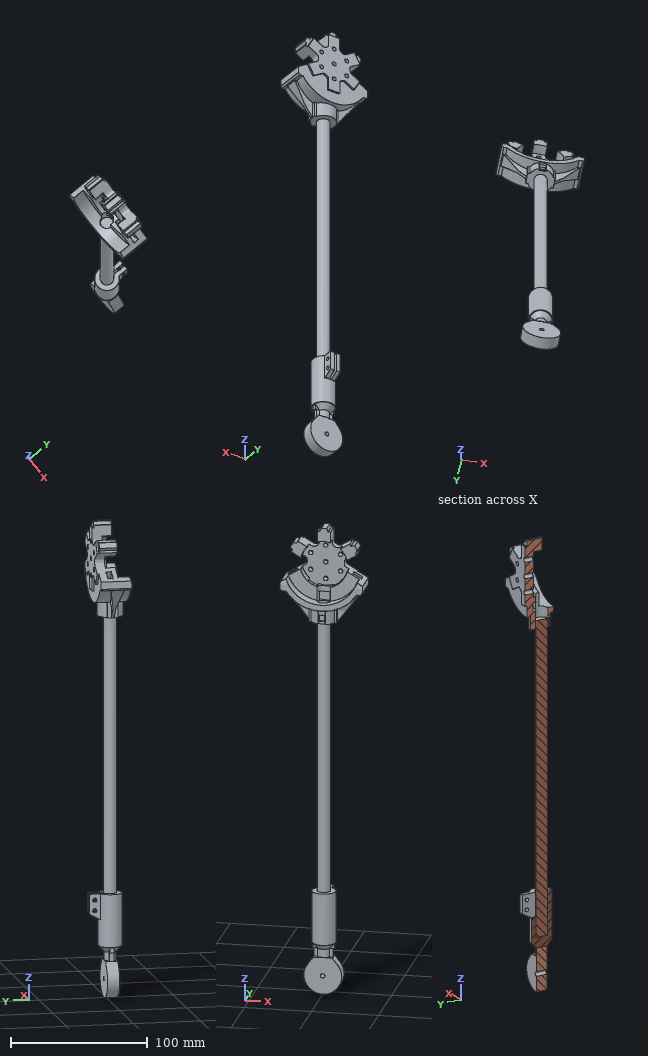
import cadquery as cq
import math

OVERALL_HEIGHT = 356.0
OVERALL_WIDTH = 61.5

ROD_R = 5.0
ROD_BOTTOM_Z = 42.7
ROD_TOP_Z = 292.0

ARM_COUNT = 6
ARM_STEP = 360.0 / ARM_COUNT
ARM_ANGLES = [ARM_STEP * (i + 0.5) for i in range(ARM_COUNT)]
HUB_Z = 328.3
HUB_FRONT_Y = 6.8
HUB_BACK_Y = 14.2
HUB_WAIST_R = 14.0
HUB_DISC_R = 17.8
ARM_HALF_WIDTH = 5.0
ARM_REACH = 23.5
ARM_ROOT_FILLET = 3.0
HUB_HOLE_D = 3.2
HUB_HOLE_PITCH_R = 12.8

FINGER_ANGLES = [angle for angle in ARM_ANGLES if angle < 180.0]
FINGER_FRONT_Y = -0.55
FINGER_BACK_Y = 12.8
FINGER_SHOULDER_R = 25.3
FINGER_TIP_R = OVERALL_HEIGHT - HUB_Z
FINGER_TIP_BASE_HALF = 3.2
FINGER_TIP_HALF = 2.0

CRADLE_R = 32.8
CRADLE_FLOOR_R = 28.0
CRADLE_FRONT_Y = -10.5
CRADLE_END_ANGLE = 30.0
CRADLE_HALF_X = OVERALL_WIDTH / 2
EAR_BOTTOM = -19.0
EAR_CORNER = 1.5
RIM_CHAMFER_Z = 314.0
RIM_CHAMFER_RISE = 5.5
RIM_CHAMFER_DEPTH = 1.0

TRACK_INNER_R = 22.0
TRACK_OUTER_R = 29.2
TRACK_FRONT_Y = 3.2
TRACK_BACK_Y = 7.0
TRACK_PORT_ANGLES = (-60.0, -120.0)
TRACK_PORT_WIDTH = 7.5

SOCKET_R = 9.5
SOCKET_BOTTOM_Z = 285.2
SOCKET_TOP_Z = 298.5
PAD_HALF_X = 10.5
PAD_WIDTH = 8.2
FLAT_WIDTH = 5.5
FLAT_Y = -8.0
POCKET_WIDTH = 4.0
POCKET_BOTTOM_Z = 287.0
POCKET_TOP_Z = 291.5
POCKET_Y = -6.0

GUSSET_TOP_X = 28.5
GUSSET_TOP_Z = 309.0
GUSSET_FLARE_Z = 293.7
GUSSET_FOOT_HALF = 1.0
GUSSET_TOP_HALF = 5.0

SLEEVE_D = 18.0
SLEEVE_R = SLEEVE_D / 2
SLEEVE_TOP_Z = 78.5
SLEEVE_BOTTOM_Z = 38.8
TAPER_BOTTOM_Z = 34.5
TAPER_TOP_R = 8.5
FIN_THICKNESS = 3.2
TAPER_FIN_HALF = 8.2

LUG_BACK_Y = 16.0
LUG_CORNER_Z = 63.0
LUG_BOTTOM_Z = 59.0
LUG_WIDTH = 8.5
LUG_HOLE_D = 3.0
LUG_HOLE_Y = 12.0
LUG_HOLE_HEIGHTS = (66.0, 73.7)
CLAMP_SLIT = 1.8

FOOT_R = 14.2
FOOT_THICKNESS = 9.3
FOOT_HOLE_D = 3.2
NECK_R = FOOT_THICKNESS / 2
NECK_FIN_HALF = 7.0
SADDLE_TOP_Z = 28.0
SADDLE_BOTTOM_Z = 24.0


def facing_plane(y, z):
    """Plane whose in-plane axes are +X and +Z; a negative extrusion runs toward +Y."""
    return cq.Workplane(cq.Plane(origin=(0, y, z), xDir=(1, 0, 0), normal=(0, -1, 0)))


def hub_disc(radius, front_y, back_y):
    """Disc about the hub axis."""
    return facing_plane(front_y, HUB_Z).circle(radius).extrude(front_y - back_y)


def hub_polygon(points, front_y, back_y):
    """Prism along Y whose outline is given as (x, z) measured from the hub axis."""
    return facing_plane(front_y, HUB_Z).polyline(points).close().extrude(front_y - back_y)


def turned(points, angle):
    """Turn (along, across) points to (x, z), with `along` at `angle` degrees above +X."""
    c = math.cos(math.radians(angle))
    s = math.sin(math.radians(angle))
    return [(along * c - across * s, along * s + across * c) for along, across in points]


def vertical_cylinder(radius, bottom_z, top_z):
    return cq.Workplane("XY").workplane(offset=bottom_z).circle(radius).extrude(top_z - bottom_z)


def box_between(x0, x1, y0, y1, z0, z1):
    return cq.Workplane("XY").box(x1 - x0, y1 - y0, z1 - z0, centered=False).translate((x0, y0, z0))


def cradle_outline():
    """Outline of the area below the two end faces, closed off by the ears' outer corners."""
    slope = math.tan(math.radians(CRADLE_END_ANGLE))
    peak = ARM_HALF_WIDTH / math.cos(math.radians(CRADLE_END_ANGLE))
    left = [
        (-CRADLE_HALF_X, peak - slope * CRADLE_HALF_X),
        (-CRADLE_HALF_X, EAR_BOTTOM + EAR_CORNER),
        (-CRADLE_HALF_X + EAR_CORNER, EAR_BOTTOM),
    ]
    right = [(-x, z) for x, z in reversed(left)]
    return (0, peak), left, right


def make_hub_plate():
    plate = hub_disc(HUB_WAIST_R, HUB_FRONT_Y, HUB_BACK_Y)
    arm = [
        (0, -ARM_HALF_WIDTH),
        (ARM_REACH, -ARM_HALF_WIDTH),
        (ARM_REACH, ARM_HALF_WIDTH),
        (0, ARM_HALF_WIDTH),
    ]
    for angle in ARM_ANGLES:
        plate = plate.union(hub_polygon(turned(arm, angle), HUB_FRONT_Y, HUB_BACK_Y))
    reach = HUB_WAIST_R + ARM_ROOT_FILLET
    around_waist = cq.selectors.BoxSelector(
        (-reach, HUB_FRONT_Y, HUB_Z - reach), (reach, HUB_BACK_Y, HUB_Z + reach)
    )
    return plate.edges("|Y").edges(around_waist).fillet(ARM_ROOT_FILLET)


def make_finger(angle):
    outline = [
        (0, -ARM_HALF_WIDTH),
        (FINGER_SHOULDER_R, -ARM_HALF_WIDTH),
        (FINGER_SHOULDER_R, -FINGER_TIP_BASE_HALF),
        (FINGER_TIP_R, -FINGER_TIP_HALF),
        (FINGER_TIP_R, FINGER_TIP_HALF),
        (FINGER_SHOULDER_R, FINGER_TIP_BASE_HALF),
        (FINGER_SHOULDER_R, ARM_HALF_WIDTH),
        (0, ARM_HALF_WIDTH),
    ]
    finger = hub_polygon(turned(outline, angle), FINGER_FRONT_Y, FINGER_BACK_Y)
    return finger.cut(hub_disc(HUB_DISC_R, FINGER_FRONT_Y, HUB_FRONT_Y))


def make_cradle():
    peak, left, right = cradle_outline()
    ear_span = hub_polygon([peak, *left, *right], CRADLE_FRONT_Y, FINGER_BACK_Y)
    below_ears = -CRADLE_R
    sector = hub_polygon(
        [peak, left[0], (-CRADLE_HALF_X, below_ears), (CRADLE_HALF_X, below_ears), right[-1]],
        CRADLE_FRONT_Y,
        FINGER_BACK_Y,
    )
    cradle = sector.intersect(hub_disc(CRADLE_R, CRADLE_FRONT_Y, FINGER_BACK_Y)).union(ear_span)
    cradle = cradle.cut(hub_disc(CRADLE_FLOOR_R, CRADLE_FRONT_Y, FINGER_FRONT_Y))
    cradle = cradle.cut(hub_disc(HUB_DISC_R, FINGER_FRONT_Y, HUB_FRONT_Y))
    chamfer = (
        cq.Workplane("YZ")
        .polyline(
            [
                (CRADLE_FRONT_Y, RIM_CHAMFER_Z),
                (CRADLE_FRONT_Y + RIM_CHAMFER_DEPTH, RIM_CHAMFER_Z + RIM_CHAMFER_RISE),
                (CRADLE_FRONT_Y, RIM_CHAMFER_Z + RIM_CHAMFER_RISE),
            ]
        )
        .close()
        .extrude(CRADLE_HALF_X, both=True)
    )
    return cradle.cut(chamfer)


def make_track():
    track = hub_disc(TRACK_OUTER_R, TRACK_FRONT_Y, TRACK_BACK_Y)
    track = track.cut(hub_disc(TRACK_INNER_R, TRACK_FRONT_Y, TRACK_BACK_Y))
    upper_half = box_between(-CRADLE_R, CRADLE_R, TRACK_FRONT_Y, TRACK_BACK_Y, HUB_Z, HUB_Z + CRADLE_R)
    track = track.cut(upper_half)
    half = TRACK_PORT_WIDTH / 2
    port_reach = (TRACK_INNER_R + TRACK_OUTER_R) / 2
    port = [(0, -half), (port_reach, -half), (port_reach, half), (0, half)]
    for angle in TRACK_PORT_ANGLES:
        track = track.union(hub_polygon(turned(port, angle), TRACK_FRONT_Y, HUB_FRONT_Y))
    return track


def make_gussets():
    gusset = (
        cq.Workplane("XZ")
        .polyline(
            [
                (PAD_HALF_X, SOCKET_BOTTOM_Z),
                (GUSSET_TOP_X, GUSSET_TOP_Z),
                (-GUSSET_TOP_X, GUSSET_TOP_Z),
                (-PAD_HALF_X, SOCKET_BOTTOM_Z),
            ]
        )
        .close()
        .extrude(GUSSET_TOP_HALF, both=True)
    )
    flare = (
        cq.Workplane("YZ")
        .polyline(
            [
                (-GUSSET_FOOT_HALF, SOCKET_BOTTOM_Z),
                (GUSSET_FOOT_HALF, SOCKET_BOTTOM_Z),
                (GUSSET_FOOT_HALF, GUSSET_FLARE_Z),
                (GUSSET_TOP_HALF, GUSSET_TOP_Z),
                (-GUSSET_TOP_HALF, GUSSET_TOP_Z),
                (-GUSSET_FOOT_HALF, GUSSET_FLARE_Z),
            ]
        )
        .close()
        .extrude(GUSSET_TOP_X, both=True)
    )
    cradle_hollow = hub_disc(CRADLE_FLOOR_R, CRADLE_FRONT_Y, HUB_BACK_Y)
    return gusset.intersect(flare).cut(cradle_hollow)


def make_socket():
    socket = vertical_cylinder(SOCKET_R, SOCKET_BOTTOM_Z, SOCKET_TOP_Z)
    half = PAD_WIDTH / 2
    pads = box_between(-PAD_HALF_X, PAD_HALF_X, -half, half, SOCKET_BOTTOM_Z, SOCKET_TOP_Z)
    socket = socket.union(pads)
    rim_bottom_z = HUB_Z - CRADLE_R
    half = FLAT_WIDTH / 2
    socket = socket.cut(box_between(-half, half, -SOCKET_R, FLAT_Y, SOCKET_BOTTOM_Z, rim_bottom_z))
    half = POCKET_WIDTH / 2
    return socket.cut(box_between(-half, half, FLAT_Y, POCKET_Y, POCKET_BOTTOM_Z, POCKET_TOP_Z))


def make_hub_mount():
    mount = make_hub_plate()
    for angle in FINGER_ANGLES:
        mount = mount.union(make_finger(angle))
    mount = mount.union(make_cradle()).union(make_gussets()).union(make_socket())
    mount = mount.cut(make_track())
    mount = mount.cut(vertical_cylinder(ROD_R, SOCKET_BOTTOM_Z, HUB_Z - HUB_WAIST_R))
    spots = [(0.0, 0.0)]
    for angle in ARM_ANGLES:
        spots += turned([(HUB_HOLE_PITCH_R, 0)], angle)
    holes = facing_plane(CRADLE_FRONT_Y, HUB_Z).pushPoints(spots).circle(HUB_HOLE_D / 2)
    return mount.cut(holes.extrude(CRADLE_FRONT_Y - HUB_BACK_Y))


def make_rod():
    return vertical_cylinder(ROD_R, ROD_BOTTOM_Z, ROD_TOP_Z)


def make_sleeve():
    sleeve = vertical_cylinder(SLEEVE_R, SLEEVE_BOTTOM_Z, SLEEVE_TOP_Z)
    taper = (
        cq.Workplane("XY").workplane(offset=TAPER_BOTTOM_Z).circle(NECK_R)
        .workplane(offset=SLEEVE_BOTTOM_Z - TAPER_BOTTOM_Z).circle(TAPER_TOP_R)
        .loft()
    )
    half = FIN_THICKNESS / 2
    fins = box_between(-TAPER_FIN_HALF, TAPER_FIN_HALF, -half, half, TAPER_BOTTOM_Z, SLEEVE_BOTTOM_Z)
    lug = (
        cq.Workplane("YZ")
        .polyline(
            [
                (0, SLEEVE_TOP_Z),
                (LUG_BACK_Y, SLEEVE_TOP_Z),
                (LUG_BACK_Y, LUG_CORNER_Z),
                (SLEEVE_R, LUG_BOTTOM_Z),
                (0, LUG_BOTTOM_Z),
            ]
        )
        .close()
        .extrude(LUG_WIDTH / 2, both=True)
    )
    lug_holes = (
        cq.Workplane("YZ")
        .pushPoints([(LUG_HOLE_Y, z) for z in LUG_HOLE_HEIGHTS])
        .circle(LUG_HOLE_D / 2)
        .extrude(LUG_WIDTH / 2, both=True)
    )
    half = CLAMP_SLIT / 2
    slit = box_between(-half, half, 0, LUG_BACK_Y, LUG_BOTTOM_Z, SLEEVE_TOP_Z)
    sleeve = sleeve.union(taper).union(fins).union(lug)
    return sleeve.cut(lug_holes).cut(slit).cut(vertical_cylinder(ROD_R, ROD_BOTTOM_Z, SLEEVE_TOP_Z))


def make_foot():
    half = FOOT_THICKNESS / 2
    disc = facing_plane(-half, FOOT_R).circle(FOOT_R).extrude(-FOOT_THICKNESS)
    neck = vertical_cylinder(NECK_R, FOOT_R, TAPER_BOTTOM_Z)
    fin_half = FIN_THICKNESS / 2
    fins = box_between(-NECK_FIN_HALF, NECK_FIN_HALF, -fin_half, fin_half, FOOT_R, TAPER_BOTTOM_Z)
    saddle_foot = math.sqrt(FOOT_R**2 - (SADDLE_BOTTOM_Z - FOOT_R) ** 2)
    saddle = (
        cq.Workplane("XZ")
        .polyline(
            [
                (-saddle_foot, SADDLE_BOTTOM_Z),
                (saddle_foot, SADDLE_BOTTOM_Z),
                (NECK_FIN_HALF, SADDLE_TOP_Z),
                (-NECK_FIN_HALF, SADDLE_TOP_Z),
            ]
        )
        .close()
        .extrude(half, both=True)
    )
    hole = facing_plane(-half, FOOT_R).circle(FOOT_HOLE_D / 2).extrude(-FOOT_THICKNESS)
    return disc.union(neck).union(fins).union(saddle).cut(hole)


hub_mount = make_hub_mount()
rod = make_rod()
sleeve = make_sleeve()
foot = make_foot()

result = cq.Compound.makeCompound([hub_mount.val(), rod.val(), sleeve.val(), foot.val()])